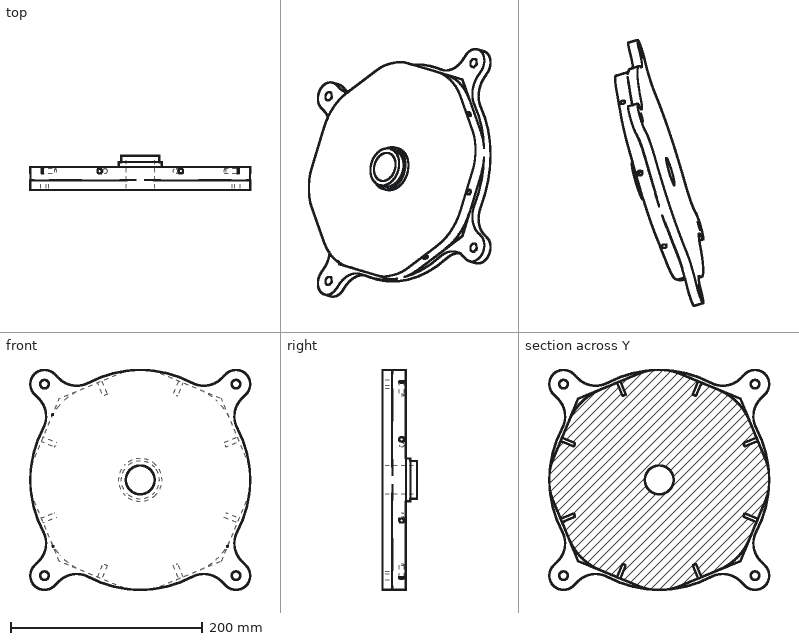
import cadquery as cq
import math

disc_radius = 115.0
plate_thickness = 10.1
lug_radius = 15.0
lug_offset = disc_radius - lug_radius
lug_reach = lug_offset * math.sqrt(2)
diagonals = [math.radians(angle) for angle in (45, 135, 225, 315)]
neck_fillet = 26.5
lug_hole_diameter = 8.7

sharp_layer_back = 10.5
octagon_back = 24.4
flat_distance = 110.9
disc_corner_radius = 46.0
diagonal_corner_radius = 59.8
flat_count = 8
half_step = math.pi / flat_count
corner_reach = flat_distance / math.cos(half_step)

radial_hole_diameter = 5.0
radial_hole_depth = 15.0
radial_hole_y = 20.0

collar_diameter = 45.0
collar_back = 29.2
hub_diameter = 39.8
hub_back = 36.0
bore_diameter = 30.0


def polar(radius, angle):
    """Return the (X, Z) point at a radius and an angle from +X."""
    return radius * math.cos(angle), radius * math.sin(angle)


def slab(outline, front, back):
    """Extrude an XZ outline from Y = front to Y = back."""
    return outline.extrude(front - back).translate((0, front, 0))


def cylinder(diameter, front, back, x=0, z=0):
    """Make a cylinder along Y."""
    return slab(cq.Workplane("XZ").center(x, z).circle(diameter / 2), front, back)


def along_diagonal(along, across, diagonal):
    """Turn distances along and across a diagonal into an (X, Z) point."""
    return (
        along * math.cos(diagonal) - across * math.sin(diagonal),
        along * math.sin(diagonal) + across * math.cos(diagonal),
    )


def lug(diagonal, front, back):
    """Straight-sided round-ended lug, blended into the disc by concave arcs."""
    blend_across = lug_radius + neck_fillet
    blend_along = math.sqrt((disc_radius + neck_fillet) ** 2 - blend_across**2)
    blend_angle = math.atan2(blend_across, blend_along)
    middle_angle = (blend_angle + math.pi / 2) / 2
    middle_along = blend_along - neck_fillet * math.cos(middle_angle)
    middle_across = blend_across - neck_fillet * math.sin(middle_angle)
    disc_along, disc_across = polar(disc_radius, blend_angle)

    def place(along, across):
        return along_diagonal(along, across, diagonal)

    outline = (
        cq.Workplane("XZ")
        .moveTo(0, 0)
        .lineTo(*place(disc_along, -disc_across))
        .threePointArc(place(middle_along, -middle_across), place(blend_along, -lug_radius))
        .lineTo(*place(lug_reach, -lug_radius))
        .threePointArc(place(lug_reach + lug_radius, 0), place(lug_reach, lug_radius))
        .lineTo(*place(blend_along, lug_radius))
        .threePointArc(place(middle_along, middle_across), place(disc_along, disc_across))
        .close()
    )
    return slab(outline, front, back)


def lugged_disc(front, back):
    """Disc with a lug on each diagonal."""
    disc = cylinder(2 * disc_radius, front, back)
    for diagonal in diagonals:
        disc = disc.union(lug(diagonal, front, back))
    return disc


def trimmed_octagon(front, back):
    """Octagon with corners on the axes and diagonals, cut to the lugged disc."""
    octagon = slab(cq.Workplane("XZ").polygon(flat_count, 2 * corner_reach), front, back)
    return octagon.intersect(lugged_disc(front, back))


def rounded_octagon():
    """Thin sharp-cornered layer with the rounded octagon behind it."""
    rounded = trimmed_octagon(sharp_layer_back, octagon_back)
    middle_y = (sharp_layer_back + octagon_back) / 2

    def round_corner(solid, reach, angle, radius):
        x, z = polar(reach, angle)
        corner_edge = cq.selectors.NearestToPointSelector((x, middle_y, z))
        return solid.edges("|Y").edges(corner_edge).fillet(radius)

    disc_edge_angle = half_step - math.acos(flat_distance / disc_radius)
    for diagonal in diagonals:
        rounded = round_corner(rounded, corner_reach, diagonal, diagonal_corner_radius)
        axis = diagonal - math.pi / 4
        for side in (-1, 1):
            edge_angle = axis + side * disc_edge_angle
            rounded = round_corner(rounded, disc_radius, edge_angle, disc_corner_radius)
    return trimmed_octagon(plate_thickness, sharp_layer_back).union(rounded)


def radial_hole(angle):
    """Blind hole running inward from the middle of a flat."""
    inward = cq.Vector(-math.cos(angle), 0, -math.sin(angle))
    x, z = polar(flat_distance, angle)
    return cq.Workplane(
        cq.Solid.makeCylinder(
            radial_hole_diameter / 2,
            radial_hole_depth,
            cq.Vector(x, radial_hole_y, z),
            inward,
        )
    )


body = lugged_disc(0, plate_thickness).union(rounded_octagon())
body = body.union(cylinder(collar_diameter, octagon_back, collar_back))
body = body.union(cylinder(hub_diameter, collar_back, hub_back))
for diagonal in diagonals:
    body = body.cut(cylinder(lug_hole_diameter, 0, plate_thickness, *polar(lug_reach, diagonal)))
for flat in range(flat_count):
    body = body.cut(radial_hole(half_step * (2 * flat + 1)))

result = body.cut(cylinder(bore_diameter, 0, hub_back))